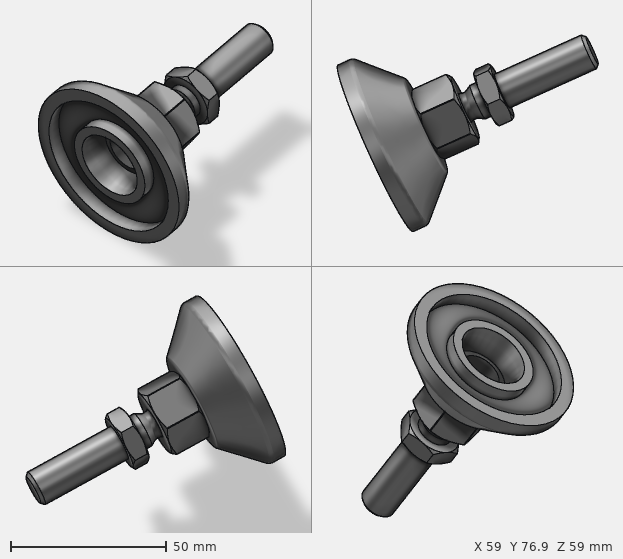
import cadquery as cq
import math


pad_radius = 29.49
pad_height = 18.0
rim_height = 5.15
pad_top_radius = pad_radius - (pad_height - rim_height)
rim_fillet = 2.15
pad_top_fillet = 1.2
recess_radius = 25.0
recess_depth = 5.0
boss_radius = 14.8
boss_setback = 0.5

foot_hex_flats = 22.0
foot_hex_height = 13.85
foot_hex_round_radius = 12.6
foot_hex_top_radius = 10.85
foot_hex_top_chamfer = 1.1
foot_hex_bottom_radius = 11.3
foot_hex_bottom_chamfer = 0.9
foot_height = pad_height + foot_hex_height

bore_mouth_radius = 11.5
bore_end_radius = 9.6
bore_end = 10.0
lip_radius = 7.1
lip_height = 9.2

ball_radius = 6.5
stud_radius = 6.0
stud_end = 76.9
stud_chamfer = 1.15
neck_radius = 4.7
neck_start = 32.8
neck_end = 33.75
ball_blend_radius = 1.5
flare_blend_radius = 0.9
flare_angle = math.radians(30)

blend_center_radius = neck_radius + ball_blend_radius
blend_center_distance = ball_radius + ball_blend_radius
ball_center = neck_start - math.sqrt(blend_center_distance**2 - blend_center_radius**2)

ball_cone_slope = (bore_end - lip_height) / (bore_end_radius - lip_radius)

center_mouth_radius = 4.45
center_inner_radius = 3.45
center_taper_depth = 1.8
center_tip_depth = 2.0

nut_flats = 18.1
nut_height = 6.0
nut_start = 39.0
nut_chamfer_slope = math.tan(math.radians(30))


def hexagon(flats, start, height, turn):
    """Hexagonal prism along Y; at zero turn two corners lie on the X axis."""
    corner_diameter = flats / math.cos(math.pi / 6)
    prism = cq.Workplane("XZ").polygon(6, corner_diameter).extrude(-height)
    return prism.rotate((0, 0, 0), (0, 1, 0), turn).translate((0, start, 0))


def revolve_profile(points):
    """Turn a closed (radius, Y) outline about the Y axis."""
    return cq.Workplane("XY").polyline(points).close().revolve(360, (0, 0), (0, 1))


def make_pad():
    pad = revolve_profile([
        (0, 0), (pad_radius, 0), (pad_radius, rim_height),
        (pad_top_radius, pad_height), (0, pad_height),
    ])
    pad = pad.edges(cq.selectors.RadiusNthSelector(-1)).edges(">Y").fillet(rim_fillet)
    pad = pad.faces(">Y").edges().fillet(pad_top_fillet)
    recess = (
        cq.Workplane("XZ").circle(recess_radius).circle(boss_radius).extrude(-recess_depth)
    )
    setback = cq.Workplane("XZ").circle(boss_radius).extrude(-boss_setback)
    return pad.cut(recess).cut(setback)


def make_foot_hex():
    prism = hexagon(foot_hex_flats, pad_height, foot_hex_height, 0)
    turned = revolve_profile([
        (0, pad_height),
        (foot_hex_bottom_radius, pad_height),
        (foot_hex_round_radius, pad_height + foot_hex_bottom_chamfer),
        (foot_hex_round_radius, foot_height - foot_hex_top_chamfer),
        (foot_hex_top_radius, foot_height),
        (0, foot_height),
    ])
    return prism.intersect(turned)


def make_foot():
    bore = revolve_profile([
        (0, boss_setback), (bore_mouth_radius, boss_setback), (bore_end_radius, bore_end),
        (lip_radius, lip_height), (ball_radius, ball_center), (0, ball_center),
    ])
    seat = cq.Workplane("XY").sphere(ball_radius).translate((0, ball_center, 0))
    return make_pad().union(make_foot_hex()).cut(bore).cut(seat)


def make_stud():
    ratio = ball_radius / blend_center_distance
    touch_radius = blend_center_radius * ratio
    touch_height = ball_center + (neck_start - ball_center) * ratio
    touch_angle = math.acos(touch_radius / ball_radius)

    def on_blend(radius, height, angle):
        """Point on a neck blend, measured from its tangent point on the neck."""
        return (
            neck_radius + radius * (1 - math.cos(angle)),
            height + radius * math.sin(angle),
        )

    flare_start = on_blend(flare_blend_radius, neck_end, flare_angle)
    flare_end = flare_start[1] + (stud_radius - flare_start[0]) / math.tan(flare_angle)
    mouth = ball_center - (ball_radius - center_mouth_radius) * ball_cone_slope
    taper_end = mouth + center_taper_depth
    return (
        cq.Workplane("XY")
        .moveTo(0, taper_end + center_tip_depth)
        .lineTo(0, stud_end)
        .lineTo(stud_radius - stud_chamfer, stud_end)
        .lineTo(stud_radius, stud_end - stud_chamfer)
        .lineTo(stud_radius, flare_end)
        .lineTo(*flare_start)
        .threePointArc(
            on_blend(flare_blend_radius, neck_end, flare_angle / 2), (neck_radius, neck_end)
        )
        .lineTo(neck_radius, neck_start)
        .threePointArc(
            on_blend(ball_blend_radius, neck_start, -touch_angle / 2),
            (touch_radius, touch_height),
        )
        .threePointArc(
            (
                ball_radius * math.cos(touch_angle / 2),
                ball_center + ball_radius * math.sin(touch_angle / 2),
            ),
            (ball_radius, ball_center),
        )
        .lineTo(center_mouth_radius, mouth)
        .lineTo(center_inner_radius, taper_end)
        .close()
        .revolve(360, (0, 0), (0, 1))
    )


def make_nut():
    flat_radius = nut_flats / 2
    corner_radius = flat_radius / math.cos(math.pi / 6)
    chamfer = (corner_radius - flat_radius) * nut_chamfer_slope
    nut_end = nut_start + nut_height
    turned = revolve_profile([
        (0, nut_start), (flat_radius, nut_start), (corner_radius, nut_start + chamfer),
        (corner_radius, nut_end - chamfer), (flat_radius, nut_end), (0, nut_end),
    ])
    hole = cq.Workplane("XZ").circle(stud_radius).extrude(-nut_end)
    return hexagon(nut_flats, nut_start, nut_height, 30).intersect(turned).cut(hole)


foot = make_foot()
stud = make_stud()
nut = make_nut()

result = cq.Compound.makeCompound([foot.val(), stud.val(), nut.val()])